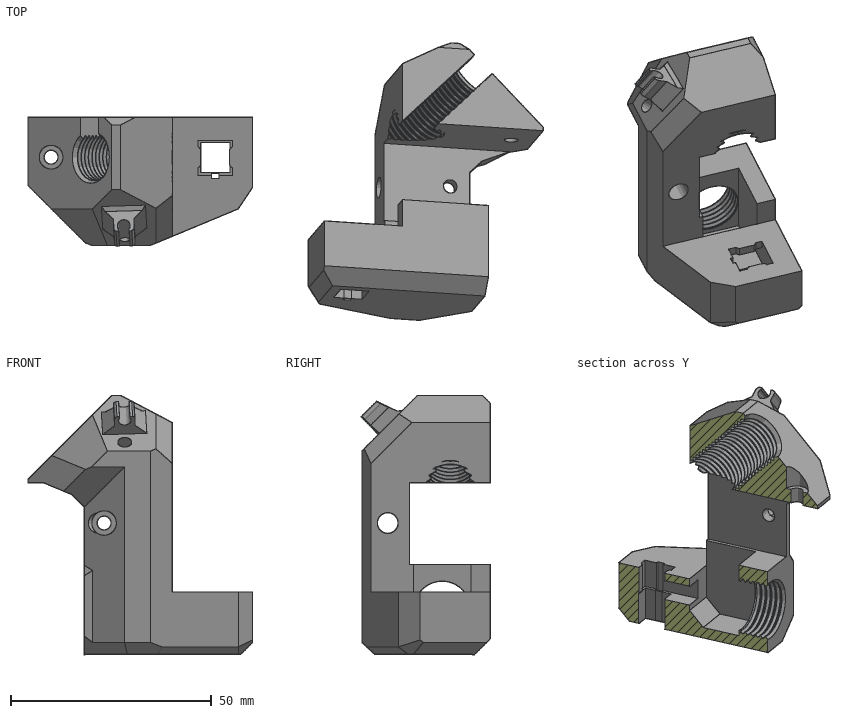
import cadquery as cq
import math

DEPTH = 32.0
HEIGHT = 64.5
COLUMN_WIDTH = 22.0
LEG_END = 42.0
LEG_TOP = 15.56
HEAD_LEFT = -14.0
WING_EDGE_TOP = 43.6
GAP_BOTTOM = 22.4
GAP_TOP = 42.7
GAP_DEPTH = 20.1
ROOT_2 = math.sqrt(2)
BIG = 200.0

RIDGE_LEFT = HEAD_LEFT + HEIGHT - WING_EDGE_TOP
RIDGE_RIGHT = 9.1
SHOULDER_HEIGHT = 57.7
UNDERSIDE_START = -10.1
UNDERSIDE_BREAK = (-3.1, 39.8)
WING_ROOT = UNDERSIDE_BREAK[0] + UNDERSIDE_BREAK[1]

COLUMN_FLANK = 21.9
HEAD_FLANK = 31.0
BLOCK_DEPTH = 24.0
FRONT_FACE_END = 16.5
LEG_KNEE = (38.4, 22.9)
LEG_END_DEPTH = 17.5
HEAD_OVERHANG = 14.7

TOP_SLOPE_SUM = 82.6
WING_CORNER = (2.1, 23.0, 59.6)
SHOULDER_CORNER = (17.9, 22.9, 59.7)
SHOULDER_TILT = 1.31
REAR_TOP_CHAMFER = 2.0

FOOT_CHAMFER = 3.0
FRONT_FOOT_SETBACK = 3.2
REAR_FOOT_CHAMFER = 3.9
FLANK_FOOT_DEPTH = 18.0
LEG_FOOT_HEIGHT = 1.87
LEG_FOOT_SETBACK = 2.45
LEG_FOOT_END_HEIGHT = 3.6
NUB_SIZE = (0.2, 0.6, 0.14)
BLOCK_CORNER_TOP = 22.2
BLOCK_CORNER_MID = 20.9
BLOCK_CORNER_LOW = 19.5

FLAT_SHARE = 1 / 8
LOWER_BORE_DEPTH = 12.0
LOWER_BORE_HEIGHT = 11.2
LOWER_MAJOR = 15.35
LOWER_MINOR = 14.01
LOWER_PITCH = 1.41
HEAD_BORE_X = 1.7
HEAD_BORE_DEPTH = 10.0
HEAD_MAJOR = 13.0
HEAD_MINOR = 11.7
HEAD_PITCH = 1.27
HEAD_LEAD_IN = 0.55
HEAD_BORE_LENGTH = 30.0
HEAD_SLOT = 6.4
HEAD_SLOT_OFFSET = 0.5

CHAMBER_START = 8.15
CHAMBER_WIDTH = 14.26
CHAMBER_FLOOR = 3.0
RAMP_TOP = 6.84

SOCKET_X = (28.4, 36.9)
SOCKET_DEPTHS = (5.85, 14.6)
SOCKET_FLOOR = 8.34
DUCT_TOP = 13.4
TAB_PROUD = 0.7
TAB_DEPTHS = (7.4, 12.7)
WINDOW_X = (29.1, 36.3)
WINDOW_DEPTHS = (6.4, 13.8)
WIRE_SLIT_X = (31.75, 33.6)
WIRE_SLIT_DEPTHS = (14.05, 15.25)

SCREW_DIAMETER = 3.4
WING_SCREW_X = -8.2
WING_SCREW_DEPTH = 10.0
WING_HEAD_DIAMETER = 5.9
WING_HEAD_FLOOR = 46.5
COLUMN_SCREW_X = 5.0
COLUMN_SCREW_HEIGHT = 32.7
COLUMN_HEAD_DIAMETER = 6.1
CROSS_HOLE_DIAMETER = 5.1
CROSS_HOLE_DEPTH = 25.55
WIRE_HOLE_X = 10.15
WIRE_HOLE_HEIGHT = 52.8
WIRE_HOLE_LENGTH = 12.0

CLIP_X = 10.15
CLIP_ROOT = 1.0
CLIP_LOW_DEPTH = 27.75
CLIP_HEIGHT = 6.17
CLIP_TIP_LENGTH = 5.3
CLIP_LEDGE = (23.4, 60.5)
CLIP_TWIST = 2.5
CLIP_BASE_HALF = 5.5
CLIP_NECK_HALF = 2.55
CLIP_NECK_HEIGHT = 3.0
CLIP_PRONG_HEIGHT = 5.0
CLIP_PRONG_SHOULDER = (2.4, 5.75)
CLIP_PRONG_HALF = 1.95
CLIP_GROOVE_DIAMETER = 3.1
CLIP_GROOVE_HEIGHT = 4.75
CLIP_MOUTH = 2.6


def block(x_range, depth_range, z_range):
    """Box given by its X, depth (measured from the rear face) and Z ranges."""
    size = [r[1] - r[0] for r in (x_range, depth_range, z_range)]
    return cq.Workplane("XY").box(*size, centered=False).translate(
        (x_range[0], -depth_range[1], z_range[0])
    )


def side_prism(points, depth):
    """XZ outline extruded from the rear face to the given depth."""
    return cq.Workplane("XZ").polyline(points).close().extrude(depth)


def rod(start, direction, diameter, length):
    """Round bar from a point (X, depth, Z) along an X, Y, Z direction."""
    x, depth, z = start
    solid = cq.Solid.makeCylinder(diameter / 2, length, cq.Vector(x, -depth, z), cq.Vector(*direction))
    return cq.Workplane(solid)


def trim(body, point, outward):
    """Remove everything beyond the plane at point (X, depth, Z); outward is (X, depth, Z) too."""
    plane = cq.Plane(
        origin=(point[0], -point[1], point[2]),
        normal=(outward[0], -outward[1], outward[2]),
    )
    return body.cut(cq.Workplane(plane).rect(BIG, BIG).extrude(BIG))


def plane_normal(a, b, c):
    """Normal of the plane through three (X, depth, Z) points."""
    normal = (cq.Vector(*b) - cq.Vector(*a)).cross(cq.Vector(*c) - cq.Vector(*a))
    return normal.toTuple()


def column_and_leg():
    """L-shaped upright with its 45 degree flank and the deeper lower block."""
    outline = [
        (0, 0),
        (LEG_END - FOOT_CHAMFER, 0),
        (LEG_END, FOOT_CHAMFER),
        (LEG_END, LEG_TOP),
        (COLUMN_WIDTH, LEG_TOP),
        (COLUMN_WIDTH, GAP_TOP),
        (0, GAP_TOP),
    ]
    upright = trim(side_prism(outline, DEPTH), (0, COLUMN_FLANK, 0), (-1, 1, 0))
    corner_length = BLOCK_DEPTH - COLUMN_FLANK
    lower_block = block((0, corner_length), (0, BLOCK_DEPTH), (0, GAP_BOTTOM))
    corner_a = (0, COLUMN_FLANK, BLOCK_CORNER_TOP)
    corner_b = (corner_length, BLOCK_DEPTH, BLOCK_CORNER_MID)
    corner_c = (0, BLOCK_DEPTH, BLOCK_CORNER_LOW)
    lower_block = trim(lower_block, corner_a, plane_normal(corner_a, corner_b, corner_c))
    return upright.union(lower_block)


def head():
    """Overhanging head, cut back by its vertical flank and its sloped underside."""
    outline = [
        (HEAD_LEFT, WING_EDGE_TOP),
        (HEAD_LEFT, GAP_TOP),
        (UNDERSIDE_START, GAP_TOP),
        UNDERSIDE_BREAK,
        (0, WING_ROOT),
        (COLUMN_WIDTH, WING_ROOT),
        (COLUMN_WIDTH, SHOULDER_HEIGHT),
        (RIDGE_RIGHT, HEIGHT),
        (RIDGE_LEFT, HEIGHT),
    ]
    solid = trim(side_prism(outline, DEPTH), (0, HEAD_FLANK, 0), (-1, 1, 0))
    solid = trim(solid, (0, 0, HEAD_OVERHANG), (0, 1, -1))
    column_top = block((0, COLUMN_WIDTH), (0, DEPTH), (WING_ROOT, SHOULDER_HEIGHT))
    column_top = trim(column_top, (0, COLUMN_FLANK, 0), (-1, 1, 0))
    column_top = column_top.intersect(side_prism(outline, DEPTH))
    return solid.union(column_top)


def bevel(body):
    """Sloped faces of the head, the bent front of the leg and the underside chamfers."""
    front_normal = (DEPTH - LEG_KNEE[1], LEG_KNEE[0] - FRONT_FACE_END, 0)
    knee_normal = (LEG_KNEE[1] - LEG_END_DEPTH, LEG_END - LEG_KNEE[0], 0)
    knee_foot = (*LEG_KNEE, LEG_FOOT_HEIGHT)
    knee_base = (LEG_KNEE[0], LEG_KNEE[1] - LEG_FOOT_SETBACK, 0)
    front_foot = (FRONT_FACE_END, DEPTH, LEG_FOOT_HEIGHT)
    end_foot = (LEG_END, LEG_END_DEPTH, LEG_FOOT_END_HEIGHT)
    flank_foot_slope = (COLUMN_FLANK - FLANK_FOOT_DEPTH) / FOOT_CHAMFER
    cuts = [
        ((0, TOP_SLOPE_SUM, 0), (0, 1, 1)),
        (WING_CORNER, (-1, ROOT_2, 1)),
        (SHOULDER_CORNER, (SHOULDER_TILT, 1, 1)),
        ((0, REAR_TOP_CHAMFER, HEIGHT), (0, -1, 1)),
        ((FRONT_FACE_END, DEPTH, 0), front_normal),
        ((*LEG_KNEE, 0), knee_normal),
        ((0, REAR_FOOT_CHAMFER, 0), (0, -1, -1)),
        ((0, DEPTH, FOOT_CHAMFER), (0, FOOT_CHAMFER, -FRONT_FOOT_SETBACK)),
        ((0, FLANK_FOOT_DEPTH, 0), (-1, 1, -flank_foot_slope)),
        (knee_foot, plane_normal(front_foot, knee_foot, knee_base)),
        (knee_foot, plane_normal(knee_foot, end_foot, knee_base)),
    ]
    for point, outward in cuts:
        body = trim(body, point, outward)
    return body


def threaded_bore(minor, major, pitch, length, lead_in=0.0):
    """Cutter along +X from the origin: a tapered mouth, then ring grooves standing for the thread."""
    half_flat = pitch * FLAT_SHARE / 2
    turns = int((length - lead_in) / pitch)
    points = [(-pitch, 0), (-pitch, major / 2), (0, major / 2)]
    for turn in range(turns):
        crest = lead_in + (turn + 0.5) * pitch
        root = crest + pitch / 2
        points.append((crest - half_flat, minor / 2))
        points.append((crest + half_flat, minor / 2))
        if turn < turns - 1:
            points.append((root - half_flat, major / 2))
            points.append((root + half_flat, major / 2))
    points.append((length, minor / 2))
    points.append((length, 0))
    return cq.Workplane("XY").polyline(points).close().revolve(360, (0, 0, 0), (1, 0, 0))


def lower_bore():
    length = CHAMBER_START + LOWER_PITCH / 2
    cutter = threaded_bore(LOWER_MINOR, LOWER_MAJOR, LOWER_PITCH, length)
    return cutter.translate((0, -LOWER_BORE_DEPTH, LOWER_BORE_HEIGHT))


def head_bore():
    """Threaded bore square to the wing, down to the gap, with a slot that opens it to the rear."""
    cutter = threaded_bore(HEAD_MINOR, HEAD_MAJOR, HEAD_PITCH, HEAD_BORE_LENGTH, HEAD_LEAD_IN)
    half_slot = HEAD_SLOT / 2
    slot = block(
        (-HEAD_BORE_LENGTH, HEAD_BORE_LENGTH),
        (-HEAD_BORE_DEPTH, 0),
        (-half_slot - HEAD_SLOT_OFFSET, half_slot - HEAD_SLOT_OFFSET),
    )
    cutter = cutter.union(slot).rotate((0, 0, 0), (0, 1, 0), 45)
    mouth_height = HEAD_BORE_X + WING_EDGE_TOP - HEAD_LEFT
    return cutter.translate((HEAD_BORE_X, -HEAD_BORE_DEPTH, mouth_height))


def chamber():
    """Chamber behind the lower bore, open above, with a ramp at the end of its floor."""
    outline = [
        (CHAMBER_START, CHAMBER_FLOOR),
        (COLUMN_WIDTH - RAMP_TOP + CHAMBER_FLOOR, CHAMBER_FLOOR),
        (COLUMN_WIDTH, RAMP_TOP),
        (COLUMN_WIDTH, GAP_BOTTOM),
        (CHAMBER_START, GAP_BOTTOM),
    ]
    side = LOWER_BORE_DEPTH - CHAMBER_WIDTH / 2
    return side_prism(outline, CHAMBER_WIDTH).translate((0, -side, 0))


def tab(wall, inward):
    """Locating tab on a socket wall, with 45 degree flanks."""
    face = wall + inward * TAB_PROUD
    points = [
        (wall, -TAB_DEPTHS[0]),
        (face, -TAB_DEPTHS[0] - TAB_PROUD),
        (face, -TAB_DEPTHS[1] + TAB_PROUD),
        (wall, -TAB_DEPTHS[1]),
    ]
    outline = cq.Workplane("XY").workplane(offset=SOCKET_FLOOR).polyline(points).close()
    return outline.extrude(LEG_TOP - SOCKET_FLOOR)


def socket():
    """Socket open at the top of the leg, its window through the floor, a wire slit and the duct."""
    cutter = block(SOCKET_X, SOCKET_DEPTHS, (SOCKET_FLOOR, LEG_TOP))
    cutter = cutter.cut(tab(SOCKET_X[0], 1)).cut(tab(SOCKET_X[1], -1))
    window = block(WINDOW_X, WINDOW_DEPTHS, (0, SOCKET_FLOOR))
    slit = block(WIRE_SLIT_X, WIRE_SLIT_DEPTHS, (0, LEG_TOP))
    duct = block((COLUMN_WIDTH, WINDOW_X[0]), SOCKET_DEPTHS, (SOCKET_FLOOR, DUCT_TOP))
    return cutter.union(window).union(slit).union(duct)


def wing_screw():
    """Vertical screw hole through the wing, with a flat seat for the screw head."""
    hole_start = (WING_SCREW_X, WING_SCREW_DEPTH, GAP_TOP)
    seat = (WING_SCREW_X, WING_SCREW_DEPTH, WING_HEAD_FLOOR)
    hole = rod(hole_start, (0, 0, 1), SCREW_DIAMETER, HEIGHT - GAP_TOP)
    return hole.union(rod(seat, (0, 0, 1), WING_HEAD_DIAMETER, HEIGHT - WING_HEAD_FLOOR))


def column_screw():
    """Screw hole through the column from the front; its seat is level with the cross hole's far side."""
    seat_depth = CROSS_HOLE_DEPTH - CROSS_HOLE_DIAMETER / 2
    hole_start = (COLUMN_SCREW_X, 0, COLUMN_SCREW_HEIGHT)
    seat = (COLUMN_SCREW_X, seat_depth, COLUMN_SCREW_HEIGHT)
    hole = rod(hole_start, (0, -1, 0), SCREW_DIAMETER, DEPTH)
    return hole.union(rod(seat, (0, -1, 0), COLUMN_HEAD_DIAMETER, DEPTH - seat_depth))


def cross_hole():
    """Hole through the column along X, at the height of the column screw."""
    start = (0, CROSS_HOLE_DEPTH, COLUMN_SCREW_HEIGHT)
    return rod(start, (1, 0, 0), CROSS_HOLE_DIAMETER, COLUMN_WIDTH)


def wire_hole():
    """Blind hole square to the front slope, below the cable clip."""
    mouth = (WIRE_HOLE_X, TOP_SLOPE_SUM - WIRE_HOLE_HEIGHT, WIRE_HOLE_HEIGHT)
    return rod(mouth, (0, 1, -1), SCREW_DIAMETER, WIRE_HOLE_LENGTH)


def cable_clip():
    """Two-pronged clip standing square on the front slope and slightly twisted."""
    low_height = TOP_SLOPE_SUM - CLIP_LOW_DEPTH
    rise = CLIP_HEIGHT / ROOT_2
    tip = (CLIP_LOW_DEPTH + rise, low_height + rise)
    run = CLIP_TIP_LENGTH / ROOT_2
    side = [
        (CLIP_LOW_DEPTH - CLIP_ROOT, low_height - CLIP_ROOT),
        tip,
        (tip[0] - run, tip[1] + run),
        CLIP_LEDGE,
        (TOP_SLOPE_SUM - CLIP_LEDGE[1] - CLIP_ROOT, CLIP_LEDGE[1]),
    ]
    slab = (
        cq.Workplane("YZ").polyline([(-depth, z) for depth, z in side]).close()
        .extrude(CLIP_BASE_HALF, both=True).translate((CLIP_X, 0, 0))
    )
    plane = cq.Plane(
        origin=(CLIP_X, -CLIP_LOW_DEPTH, low_height), xDir=(1, 0, 0), normal=(0, -1, -1)
    )
    shoulder_x, shoulder_height = CLIP_PRONG_SHOULDER
    rail = (
        cq.Workplane(plane)
        .moveTo(-CLIP_BASE_HALF, -CLIP_ROOT)
        .lineTo(CLIP_BASE_HALF, -CLIP_ROOT)
        .lineTo(CLIP_BASE_HALF, 0)
        .lineTo(CLIP_NECK_HALF, CLIP_NECK_HEIGHT)
        .lineTo(CLIP_NECK_HALF, CLIP_PRONG_HEIGHT)
        .threePointArc((shoulder_x, shoulder_height), (CLIP_PRONG_HALF, CLIP_HEIGHT))
        .lineTo(-CLIP_PRONG_HALF, CLIP_HEIGHT)
        .threePointArc((-shoulder_x, shoulder_height), (-CLIP_NECK_HALF, CLIP_PRONG_HEIGHT))
        .lineTo(-CLIP_NECK_HALF, CLIP_NECK_HEIGHT)
        .lineTo(-CLIP_BASE_HALF, 0)
        .close()
        .extrude(BIG, both=True)
    )
    groove_axis = cq.Workplane(plane).center(0, CLIP_GROOVE_HEIGHT)
    groove = groove_axis.circle(CLIP_GROOVE_DIAMETER / 2).extrude(BIG, both=True)
    mouth = groove_axis.center(0, CLIP_HEIGHT / 2).rect(CLIP_MOUTH, CLIP_HEIGHT).extrude(BIG, both=True)
    clip = slab.intersect(rail).cut(groove).cut(mouth)
    pivot = cq.Vector(CLIP_X, -CLIP_LOW_DEPTH, low_height)
    return clip.rotate(pivot.toTuple(), (pivot + cq.Vector(0, -1, 1)).toTuple(), CLIP_TWIST)


def nub():
    """Tiny foot under the left wall, where the rear chamfer meets the underside."""
    width, length, drop = NUB_SIZE
    return block((0, width), (REAR_FOOT_CHAMFER, REAR_FOOT_CHAMFER + length), (-drop, drop))


result = bevel(column_and_leg().union(head()))
result = result.cut(block((HEAD_LEFT, COLUMN_WIDTH), (0, GAP_DEPTH), (GAP_BOTTOM, GAP_TOP)))
bores = [chamber(), lower_bore(), head_bore(), socket()]
holes = [wing_screw(), column_screw(), cross_hole(), wire_hole()]
for cutter in bores + holes:
    result = result.cut(cutter)
result = result.union(cable_clip()).union(nub()).solids()